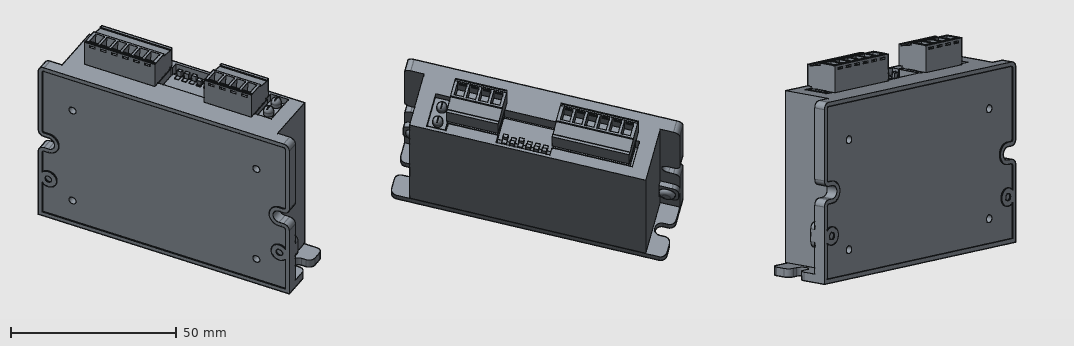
import cadquery as cq

LENGTH = 86.0
DEPTH = 21.5
CASE_TOP = 56.0
PLATE_THICKNESS = 3.95
FOOT_THICKNESS = 2.7
CORNER_RADIUS = 2.0
SLOT_RADIUS = 2.1
SLOT_DEPTH = 5.6
PLATE_SLOT_Z = 27.95
FOOT_SLOT_Y = 12.5
RIM_WIDTH = 1.4
RECESS_DEPTH = 0.4

MOUNT_HOLE_DIAMETER = 2.4
MOUNT_HOLE_X = 31.5
MOUNT_HOLE_ZS = (8.95, 42.9)
SCREW_X = LENGTH / 2 - 3.4
SCREW_Z = 14.45
SCREW_HOLE_DIAMETER = 2.2
SCREW_HOLE_DEPTH = 0.4
SCREW_PAD_DIAMETER = 5.7
BOSS_HEIGHT = 7.9
BOSS_THICKNESS = 1.6
HEAD_DIAMETER = 5.2
HEAD_HEIGHT = 1.4
HEAD_ROUND = 1.3

CASE_HALF = 36.9
CASE_GAP = 0.3
POCKET_HALF = 31.8
POCKET_FRONT = 9.5
POCKET_BACK = 18.15
POCKET_RAISED_BACK = 20.55
POCKET_DEPTH = 5.2
PIT_LEFT = 25.7

PLUG_FRONT = 6.9
PLUG_BACK = 18.0
PLUG_TOP = 64.8
PLUG_GAP = 0.4
PLUG_PITCH = 3.8
SIX_WAY_LEFT = -30.8
SIX_WAY_RIGHT = -6.7
FOUR_WAY_LEFT = 10.15
FOUR_WAY_RIGHT = 26.3
RAMP_FRONT = 12.9
RAMP_BACK = 17.0
RAMP_STEP = 0.7
RAMP_DROP = 1.5
LIP_DROP = 1.0
HEEL_LENGTH = 1.4
HEEL_HEIGHT = 0.6
CELL_WIDTH = 2.9
CELL_FRONT = 8.1
CELL_BACK = 12.2
CELL_TAPER = 0.9
CELL_DEPTH = 5.2
WINDOW_WIDTH = 1.9
WINDOW_HEIGHT = 0.6
WINDOW_DROP = 0.8
GROOVE_FRONT = 7.1
GROOVE_BACK = 7.65
GROOVE_DEPTH = 0.1
FOOT_PAD_WIDTH = 2.7
FOOT_PAD_FRONT = 11.35
FOOT_PAD_BACK = 15.3
HEADER_INSET = 0.3
HEADER_DROP = 0.2

BANK_FRONT = 11.1
BANK_CREST = 18.4
BANK_DROP = 2.4
BANK_SLOPE_FALL = 1.3
SWITCH_COUNT = 6
SWITCH_PITCH = 2.5
SWITCH_WIDTH = 1.5
SWITCH_FRONT = 16.7
SWITCH_BACK = 19.4
SWITCH_RECESS = 0.2
UPRIGHT_LEVER_RISE = 1.7
TILTED_LEVER_FRONT = 16.9
TILTED_LEVER_BACK = 18.1
TILTED_LEVER_RISE = 1.7
TILTED_HEEL_RISE = 0.35
LEVER_OVERHANG = 0.35
LEVER_TILT = 0.2
TILTED_SWITCHES = (3, 5)

TRIMMER_LEFT = 26.2
TRIMMER_FRONT = 10.0
TRIMMER_BACK = 19.8
TRIMMER_DROP = 1.55
KNOB_X = 29.0
KNOB_YS = (13.1, 18.0)
KNOB_RADIUS = 1.55
KNOB_RISE = 1.3
KNOB_SLOT_WIDTH = 0.2
KNOB_SLOT_DEPTH = 0.4


def block(x_span, y_span, z_span):
    """Box between the given limits along each axis."""
    (x0, x1), (y0, y1), (z0, z1) = x_span, y_span, z_span
    return cq.Workplane("XY").box(x1 - x0, y1 - y0, z1 - z0, centered=False).translate((x0, y0, z0))


def side_prism(points, x_left, x_right):
    """Extrude a (Y, Z) outline between two X positions."""
    return cq.Workplane("YZ", origin=(x_left, 0, 0)).polyline(points).close().extrude(x_right - x_left)


def notched_plate(width, thickness, slot_height):
    """Plate in XY, lower edge on Y = 0, upper corners rounded, a flared slot in each end."""
    plate = cq.Workplane("XY").rect(LENGTH, width).extrude(thickness).translate((0, width / 2, 0))
    slot = (
        cq.Workplane("XY")
        .pushPoints([(-LENGTH / 2, slot_height), (LENGTH / 2, slot_height)])
        .slot2D(2 * SLOT_DEPTH, 2 * SLOT_RADIUS)
        .extrude(thickness)
    )
    plate = plate.cut(slot)
    ends = plate.faces("<X or >X").edges("|Z")
    rounded = ends.filter(lambda edge: edge.Center().y > CORNER_RADIUS)
    return rounded.fillet(CORNER_RADIUS)


def along_y(x, z, y_start, diameter, length):
    """Cylinder along +Y."""
    return cq.Workplane("XZ", origin=(x, y_start, z)).circle(diameter / 2).extrude(-length)


def stand_up(flat):
    """Turn a flat plate upright, its upper face becoming the front face on Y = 0."""
    return flat.rotate((0, 0, 0), (1, 0, 0), 90).translate((0, PLATE_THICKNESS, 0))


def bracket():
    """Plate and foot, with a shallow recess inside the rim of the plate's front face."""
    flat = notched_plate(CASE_TOP, PLATE_THICKNESS, PLATE_SLOT_Z)
    recess = flat.faces(">Z").wires().toPending().offset2D(-RIM_WIDTH).extrude(-RECESS_DEPTH, combine=False)
    foot = notched_plate(DEPTH, FOOT_THICKNESS, FOOT_SLOT_Y)
    plate = stand_up(flat).union(foot).cut(stand_up(recess))
    for side in (-1, 1):
        x = side * SCREW_X
        plate = plate.union(along_y(x, SCREW_Z, 0, SCREW_PAD_DIAMETER, PLATE_THICKNESS))
        plate = plate.cut(along_y(x, SCREW_Z, 0, SCREW_HOLE_DIAMETER, SCREW_HOLE_DEPTH))
        for z in MOUNT_HOLE_ZS:
            plate = plate.cut(along_y(side * MOUNT_HOLE_X, z, 0, MOUNT_HOLE_DIAMETER, PLATE_THICKNESS))
    return plate


def screw_boss(side):
    """Rounded boss behind the plate carrying a screw head; side is -1 or 1."""
    width = LENGTH / 2 - CASE_HALF
    centre = side * (CASE_HALF + width / 2)
    boss = (
        cq.Workplane("XZ", origin=(centre, PLATE_THICKNESS, SCREW_Z))
        .rect(width, BOSS_HEIGHT)
        .extrude(-BOSS_THICKNESS)
        .edges("|Y")
        .edges("<X" if side < 0 else ">X")
        .fillet(CORNER_RADIUS)
    )
    head = along_y(side * SCREW_X, SCREW_Z, PLATE_THICKNESS + BOSS_THICKNESS, HEAD_DIAMETER, HEAD_HEIGHT)
    return boss.union(head.faces(">Y").edges().fillet(HEAD_ROUND))


def case():
    """Cover with a stepped pocket in its top for the connectors and controls."""
    body = block((-CASE_HALF, CASE_HALF), (PLATE_THICKNESS, DEPTH), (FOOT_THICKNESS + CASE_GAP, CASE_TOP))
    depth_span = (CASE_TOP - POCKET_DEPTH, CASE_TOP)
    body = body.cut(block((-POCKET_HALF, POCKET_HALF), (POCKET_FRONT, POCKET_BACK), depth_span))
    for x_span in ((SIX_WAY_RIGHT, FOUR_WAY_LEFT), (PIT_LEFT, POCKET_HALF)):
        body = body.cut(block(x_span, (POCKET_FRONT, POCKET_RAISED_BACK), depth_span))
    return body


def connector(x_left, x_right, ways):
    """Plug with a row of tapered wire cells, standing on a header in the pocket."""
    bottom = CASE_TOP + PLUG_GAP
    profile = [
        (PLUG_FRONT, bottom),
        (PLUG_FRONT, PLUG_TOP),
        (RAMP_FRONT, PLUG_TOP),
        (RAMP_FRONT, PLUG_TOP - RAMP_STEP),
        (RAMP_BACK, PLUG_TOP - RAMP_DROP),
        (RAMP_BACK, PLUG_TOP - LIP_DROP),
        (PLUG_BACK, PLUG_TOP - LIP_DROP),
        (PLUG_BACK, bottom + HEEL_HEIGHT),
        (PLUG_BACK - HEEL_LENGTH, bottom + HEEL_HEIGHT),
        (PLUG_BACK - HEEL_LENGTH, bottom),
    ]
    plug = side_prism(profile, x_left, x_right)
    plug = plug.cut(
        block((x_left, x_right), (GROOVE_FRONT, GROOVE_BACK), (PLUG_TOP - GROOVE_DEPTH, PLUG_TOP))
    )
    header_top = CASE_TOP - HEADER_DROP
    plug = plug.union(
        block(
            (x_left + HEADER_INSET, x_right - HEADER_INSET),
            (POCKET_FRONT, POCKET_BACK - HEADER_INSET),
            (CASE_TOP - POCKET_DEPTH, header_top),
        )
    )
    cell_profile = [
        (CELL_FRONT, PLUG_TOP),
        (CELL_BACK, PLUG_TOP),
        (CELL_BACK - CELL_TAPER, PLUG_TOP - CELL_DEPTH),
        (CELL_FRONT, PLUG_TOP - CELL_DEPTH),
    ]
    centre = (x_left + x_right) / 2
    pad_pitch = (x_right - x_left) / ways
    window_top = PLUG_TOP - WINDOW_DROP
    for index in range(ways):
        step = index - (ways - 1) / 2
        cell_x = centre + step * PLUG_PITCH
        plug = plug.cut(side_prism(cell_profile, cell_x - CELL_WIDTH / 2, cell_x + CELL_WIDTH / 2))
        plug = plug.cut(
            block(
                (cell_x - WINDOW_WIDTH / 2, cell_x + WINDOW_WIDTH / 2),
                (PLUG_FRONT, CELL_FRONT),
                (window_top - WINDOW_HEIGHT, window_top),
            )
        )
        pad_x = centre + step * pad_pitch
        plug = plug.union(
            block(
                (pad_x - FOOT_PAD_WIDTH / 2, pad_x + FOOT_PAD_WIDTH / 2),
                (FOOT_PAD_FRONT, FOOT_PAD_BACK),
                (header_top, bottom),
            )
        )
    return plug


def switch_bank():
    """Low block whose back slopes down, with a row of lever switches along the crest."""
    top = CASE_TOP - BANK_DROP
    floor = CASE_TOP - POCKET_DEPTH
    slope_end = top - BANK_SLOPE_FALL
    bank = side_prism(
        [
            (BANK_FRONT, floor),
            (BANK_FRONT, top),
            (BANK_CREST, top),
            (POCKET_RAISED_BACK, slope_end),
            (POCKET_RAISED_BACK, floor),
        ],
        SIX_WAY_RIGHT,
        FOUR_WAY_LEFT,
    )
    recess = [
        (SWITCH_FRONT, top),
        (BANK_CREST, top),
        (BANK_CREST, top - SWITCH_RECESS),
        (SWITCH_FRONT, top - SWITCH_RECESS),
    ]
    upright_lever = [
        (BANK_CREST, floor),
        (BANK_CREST, top + UPRIGHT_LEVER_RISE),
        (SWITCH_BACK, top + UPRIGHT_LEVER_RISE),
        (SWITCH_BACK, floor),
    ]
    tilted_length = TILTED_LEVER_BACK - TILTED_LEVER_FRONT
    heel_length = SWITCH_BACK - TILTED_LEVER_BACK
    tilted_lever = [
        (TILTED_LEVER_FRONT + LEVER_OVERHANG, floor),
        (TILTED_LEVER_FRONT + LEVER_OVERHANG, top),
        (TILTED_LEVER_FRONT, top + TILTED_LEVER_RISE),
        (TILTED_LEVER_BACK, top + TILTED_LEVER_RISE + LEVER_TILT * tilted_length),
        (TILTED_LEVER_BACK, top + TILTED_HEEL_RISE),
        (SWITCH_BACK, top + TILTED_HEEL_RISE + LEVER_TILT * heel_length),
        (SWITCH_BACK, floor),
    ]
    centre = (SIX_WAY_RIGHT + FOUR_WAY_LEFT) / 2
    for index in range(SWITCH_COUNT):
        x = centre + (index - (SWITCH_COUNT - 1) / 2) * SWITCH_PITCH
        x_left, x_right = x - SWITCH_WIDTH / 2, x + SWITCH_WIDTH / 2
        lever = tilted_lever if index in TILTED_SWITCHES else upright_lever
        bank = bank.cut(side_prism(recess, x_left, x_right))
        bank = bank.union(side_prism(lever, x_left, x_right))
    return bank


def trimmers():
    """Block with two domed, slotted adjusting knobs."""
    top = CASE_TOP - TRIMMER_DROP
    unit = block(
        (TRIMMER_LEFT, POCKET_HALF),
        (TRIMMER_FRONT, TRIMMER_BACK),
        (CASE_TOP - POCKET_DEPTH, top),
    )
    knob_top = CASE_TOP + KNOB_RISE
    dome_centre = knob_top - KNOB_RADIUS
    for y in KNOB_YS:
        knob = cq.Workplane("XY", origin=(KNOB_X, y, top)).circle(KNOB_RADIUS).extrude(dome_centre - top)
        knob = knob.union(cq.Workplane("XY", origin=(KNOB_X, y, dome_centre)).sphere(KNOB_RADIUS))
        slot = block(
            (KNOB_X - KNOB_SLOT_WIDTH / 2, KNOB_X + KNOB_SLOT_WIDTH / 2),
            (y - KNOB_RADIUS, y + KNOB_RADIUS),
            (knob_top - KNOB_SLOT_DEPTH, knob_top),
        )
        unit = unit.union(knob.cut(slot))
    return unit


result = bracket().union(case())
for side in (-1, 1):
    result = result.union(screw_boss(side))
result = result.union(connector(SIX_WAY_LEFT, SIX_WAY_RIGHT, 6))
result = result.union(connector(FOUR_WAY_LEFT, FOUR_WAY_RIGHT, 4))
result = result.union(switch_bank()).union(trimmers())